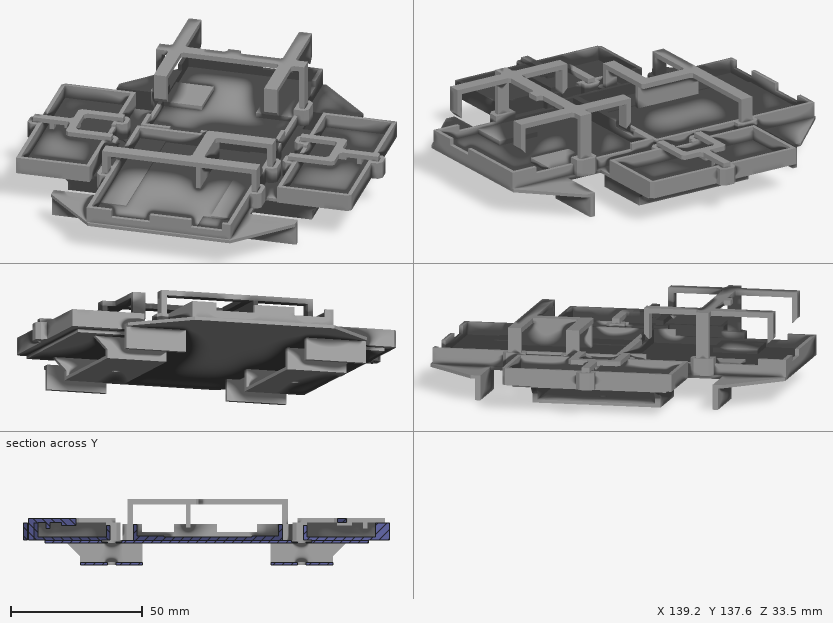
import cadquery as cq
import math

PLATE_T = 1.3
WING_X = 61.4
WING_Y = 29.9
WAIST_X = 29.2
EAR_X = 48.0
EAR_INNER_Y = 45.0
EAR_CORNER_Y = 48.8
END_X = 27.9
END_Y = 68.8

HOLE_X = 36.0
HOLE_D = 3.0
COUNTERBORE_D = 7.5
COUNTERBORE_DEPTH = 0.5

FOOT_BOTTOM = -9.6
FOOT_T = 2.1
FOOT_INNER_X = 24.2
BRACKET_HALF_Y = 24.9
BRACKET_ARM_T = 2.1
BRACKET_FLOOR_T = 1.3
BRACKET_SLOPE = 4.9

TRAY_H = 6.5
LOW_TRAY_H = 6.1
TRAY_FLOOR = 1.3
WALL_T = 1.5
SOCKET_WALL = 1.7
SOCKET_CHAMFER = 1.5
FIT_GAP = 0.3

LARGE_TRAY_X = -0.4
UPPER_TRAY_W = 54.0
UPPER_TRAY_Y = (4.7, 68.8)
LOWER_TRAY_W = 56.5
LOWER_TRAY_Y = (-68.0, 4.5)
SIDE_TRAY_X = (36.5, 65.5)
SIDE_TRAY_HALF_L = 33.0
LEFT_TRAY_Y = -2.1
SIDE_TRAY_CORNER = 1.3

UPPER_NOTCH_DEPTH = 2.5
LOWER_NOTCH_DEPTH = 3.0
SIDE_NOTCH_DEPTH = 1.0
UPPER_SIDE_NOTCH_Y = (14.5, 58.0)
UPPER_BACK_NOTCH_X = (3.0, 15.3)
UPPER_FRONT_NOTCH_X = (-16.1, -4.0)
LOWER_FRONT_NOTCHES_X = [(-19.0, -3.9), (12.2, 24.5)]
SIDE_NOTCH_HALF_L = 4.0

UPPER_PAD_L = 14.9
UPPER_PAD_Y = (32.4, 49.6)
UPPER_PAD_H = 2.0
STRIP_W = 10.1
STRIP_END_Y = -53.8
STRIP_H = 0.4
CORNER_RECESS_W = 13.0
CORNER_RECESS_DEPTH = 0.5

LEG_T = 2.1
LARGE_BAR_W = 5.0
LARGE_BAR_T = 2.0
SMALL_BAR_W = 3.0
SMALL_BAR_T = 1.8
LARGE_CLIP_CHAMFER = 0.8
SMALL_CLIP_CHAMFER = 1.1
CORNER_TOLERANCE = 0.01

UPPER_CLIP_TOP = 23.9
UPPER_CLIP_Y = 36.8
ARM_OFFSET_X = 21.7
ARM_Y = (13.0, 63.1)
TIP_DROP = 12.0
NUB_X = -0.7
NUB_END_Y = 41.8

LOWER_CLIP_TOP = 15.4
LOWER_CLIP_MAIN_Y = -35.7
LOWER_CLIP_BRANCH_Y = -13.2
LINK_X = (3.0, 7.8)
RIB_T = 1.7
RIB_BOTTOM = 4.7

SIDE_CLIP_LEG_Y = 8.5
CROSSBAR_X = (49.5, 52.5)
STEM_BLOCK_END = 55.0
STEM_BLOCK_DROP = 1.1
PEG_X = (59.2, 61.0)
PEG_DROP = 2.2


def box(x_range, y_range, z_range):
    """Axis-aligned box between the given limits."""
    size = [high - low for low, high in (x_range, y_range, z_range)]
    corner = (x_range[0], y_range[0], z_range[0])
    return cq.Workplane("XY").box(*size, centered=False).translate(corner)


def span(centre, width):
    """Limits of a width centred on a coordinate."""
    return (centre - width / 2, centre + width / 2)


def make_plate():
    quarter = [
        (END_X, END_Y),
        (EAR_X, EAR_CORNER_Y),
        (EAR_X, EAR_INNER_Y),
        (WAIST_X, EAR_INNER_Y),
        (WAIST_X, WING_Y),
        (WING_X, WING_Y),
    ]
    right_half = quarter + [(x, -y) for x, y in reversed(quarter)]
    outline = right_half + [(-x, -y) for x, y in right_half]
    plate = cq.Workplane("XY").polyline(outline).close().extrude(-PLATE_T)
    plate = (
        plate.faces(">Z").workplane(origin=(0, 0, 0))
        .pushPoints([(-HOLE_X, 0), (HOLE_X, 0)])
        .cboreHole(HOLE_D, COUNTERBORE_D, COUNTERBORE_DEPTH)
    )
    for side in (1, -1):
        plate = plate.union(make_bracket(side))
        for end in (1, -1):
            foot_x = sorted((side * FOOT_INNER_X, side * EAR_X))
            foot_y = sorted((end * EAR_INNER_Y, end * (EAR_INNER_Y + FOOT_T)))
            plate = plate.union(box(foot_x, foot_y, (FOOT_BOTTOM, -PLATE_T)))
    return plate


def make_bracket(side):
    """Two sloped arms under one wing, joined by a floor that the mounting hole also passes through."""
    profile = [
        (FOOT_INNER_X, -PLATE_T),
        (EAR_X + BRACKET_SLOPE, -PLATE_T),
        (EAR_X, -PLATE_T - BRACKET_SLOPE),
        (EAR_X, FOOT_BOTTOM),
        (FOOT_INNER_X, FOOT_BOTTOM),
    ]
    bracket = (
        cq.Workplane("XZ")
        .polyline([(side * x, z) for x, z in profile]).close()
        .extrude(BRACKET_HALF_Y, both=True)
    )
    opening_half = BRACKET_HALF_Y - BRACKET_ARM_T
    opening = box(
        (-WING_X, WING_X),
        (-opening_half, opening_half),
        (FOOT_BOTTOM + BRACKET_FLOOR_T, -PLATE_T),
    )
    hole = cq.Workplane("XY").center(side * HOLE_X, 0).circle(HOLE_D / 2).extrude(FOOT_BOTTOM)
    return bracket.cut(opening).cut(hole)


def make_tray(x_range, y_range, height):
    """Open box with a floor and four walls."""
    inner_x = (x_range[0] + WALL_T, x_range[1] - WALL_T)
    inner_y = (y_range[0] + WALL_T, y_range[1] - WALL_T)
    cavity = box(inner_x, inner_y, (TRAY_FLOOR, height))
    return box(x_range, y_range, (0, height)).cut(cavity)


def add_socket(tray, wall_x, y, side, bar_width, height):
    """Add a chamfered socket for a clip leg outside the wall whose outer face is at wall_x."""
    pocket_w = bar_width + 2 * FIT_GAP
    pocket_end = wall_x + side * (LEG_T + FIT_GAP)
    block_x = sorted((wall_x - side * WALL_T, pocket_end + side * SOCKET_WALL))
    block = box(block_x, span(y, pocket_w + 2 * SOCKET_WALL), (0, height))
    outer_edges = "|Z and >X" if side > 0 else "|Z and <X"
    block = block.edges(outer_edges).chamfer(SOCKET_CHAMFER)
    pocket = box(sorted((wall_x, pocket_end)), span(y, pocket_w), (0, height))
    return tray.union(block).cut(pocket)


def make_upper_tray():
    x_range = span(LARGE_TRAY_X, UPPER_TRAY_W)
    inner_x = (x_range[0] + WALL_T, x_range[1] - WALL_T)
    front, back = UPPER_TRAY_Y
    notch_z = (TRAY_H - UPPER_NOTCH_DEPTH, TRAY_H)
    tray = make_tray(x_range, UPPER_TRAY_Y, TRAY_H)
    tray = tray.cut(box(x_range, UPPER_SIDE_NOTCH_Y, notch_z))
    tray = tray.cut(box(UPPER_BACK_NOTCH_X, (back - WALL_T, back), notch_z))
    tray = tray.cut(box(UPPER_FRONT_NOTCH_X, (front, front + WALL_T), notch_z))
    pad_z = (TRAY_FLOOR, TRAY_FLOOR + UPPER_PAD_H)
    tray = tray.union(box((inner_x[0], inner_x[0] + UPPER_PAD_L), UPPER_PAD_Y, pad_z))
    tray = tray.union(box((inner_x[1] - UPPER_PAD_L, inner_x[1]), UPPER_PAD_Y, pad_z))
    for wall_x, side in zip(x_range, (-1, 1)):
        tray = add_socket(tray, wall_x, UPPER_CLIP_Y, side, LARGE_BAR_W, TRAY_H)
    return tray


def make_lower_tray():
    x_range = span(LARGE_TRAY_X, LOWER_TRAY_W)
    left, right = x_range[0] + WALL_T, x_range[1] - WALL_T
    front, back = LOWER_TRAY_Y[0] + WALL_T, LOWER_TRAY_Y[1] - WALL_T
    tray = make_tray(x_range, LOWER_TRAY_Y, LOW_TRAY_H)
    for notch_x in LOWER_FRONT_NOTCHES_X:
        notch_z = (LOW_TRAY_H - LOWER_NOTCH_DEPTH, LOW_TRAY_H)
        tray = tray.cut(box(notch_x, (LOWER_TRAY_Y[0], front), notch_z))
    strip_z = (TRAY_FLOOR, TRAY_FLOOR + STRIP_H)
    for strip_x in ((left, left + STRIP_W), (right - STRIP_W, right)):
        tray = tray.union(box(strip_x, (STRIP_END_Y, back), strip_z))
    recess_z = (TRAY_FLOOR - CORNER_RECESS_DEPTH, TRAY_FLOOR)
    tray = tray.cut(box((right - CORNER_RECESS_W, right), (front, STRIP_END_Y), recess_z))
    sockets = [
        (x_range[0], LOWER_CLIP_MAIN_Y, -1),
        (x_range[1], LOWER_CLIP_MAIN_Y, 1),
        (x_range[1], LOWER_CLIP_BRANCH_Y, 1),
    ]
    for wall_x, y, side in sockets:
        tray = add_socket(tray, wall_x, y, side, LARGE_BAR_W, LOW_TRAY_H)
    return tray


def make_side_tray():
    """Tray on the +X side, centred on y = 0."""
    inner, outer = SIDE_TRAY_X
    tray = make_tray(SIDE_TRAY_X, (-SIDE_TRAY_HALF_L, SIDE_TRAY_HALF_L), TRAY_H)
    tray = tray.edges("|Z and >X and <Y").chamfer(SIDE_TRAY_CORNER)
    notch_z = (TRAY_H - SIDE_NOTCH_DEPTH, TRAY_H)
    tray = tray.cut(box((inner, inner + WALL_T), (-SIDE_NOTCH_HALF_L, SIDE_NOTCH_HALF_L), notch_z))
    tray = add_socket(tray, outer, 0, 1, SMALL_BAR_W, TRAY_H)
    for y in (-SIDE_CLIP_LEG_Y, SIDE_CLIP_LEG_Y):
        tray = add_socket(tray, inner, y, -1, SMALL_BAR_W, TRAY_H)
    return tray


def make_leg(wall_x, y, side, bar_width, top):
    """Clip leg that stands on the plate against the outer face of a tray wall."""
    return box(sorted((wall_x, wall_x + side * LEG_T)), span(y, bar_width), (0, top))


def chamfer_corners(frame, corners, size):
    """Chamfer the upright edges of a flat bar frame that stand at the given (x, y) corners."""
    edges = []
    for edge in frame.edges("|Z").vals():
        centre = edge.Center()
        if any(math.hypot(centre.x - x, centre.y - y) < CORNER_TOLERANCE for x, y in corners):
            edges.append(edge)
    return cq.Workplane(frame.val().chamfer(size, None, edges))


def make_upper_clip():
    x_range = span(LARGE_TRAY_X, UPPER_TRAY_W)
    bar_x = (x_range[0] - LEG_T, x_range[1] + LEG_T)
    bar_y = span(UPPER_CLIP_Y, LARGE_BAR_W)
    bar_z = (UPPER_CLIP_TOP - LARGE_BAR_T, UPPER_CLIP_TOP)
    nub_x = span(NUB_X, LARGE_BAR_W)
    clip = box(bar_x, bar_y, bar_z)
    clip = clip.union(box(nub_x, (UPPER_CLIP_Y, NUB_END_Y), bar_z))
    corners = [(x, bar_y[1]) for x in nub_x]
    arm_xs = [span(LARGE_TRAY_X + side * ARM_OFFSET_X, LARGE_BAR_W) for side in (-1, 1)]
    for arm_x in arm_xs:
        clip = clip.union(box(arm_x, ARM_Y, bar_z))
        corners += [(x, y) for x in arm_x for y in bar_y]
    clip = chamfer_corners(clip, corners, LARGE_CLIP_CHAMFER)
    for arm_x in arm_xs:
        for end_y, inward in zip(ARM_Y, (1, -1)):
            clip = clip.union(make_arm_tip(arm_x, end_y, inward))
    for wall_x, side in zip(x_range, (-1, 1)):
        clip = clip.union(make_leg(wall_x, UPPER_CLIP_Y, side, LARGE_BAR_W, UPPER_CLIP_TOP))
    return clip


def make_arm_tip(arm_x, end_y, inward):
    """Finger hanging from an arm end, cut at 45 degrees so that its inner face is the longest."""
    tip_z = UPPER_CLIP_TOP - TIP_DROP
    inner_y = end_y + inward * LEG_T
    profile = [
        (end_y, UPPER_CLIP_TOP),
        (inner_y, UPPER_CLIP_TOP),
        (inner_y, tip_z),
        (end_y, tip_z + LEG_T),
    ]
    finger = cq.Workplane("YZ").polyline(profile).close().extrude(LARGE_BAR_W)
    return finger.translate((arm_x[0], 0, 0))


def make_lower_clip():
    x_range = span(LARGE_TRAY_X, LOWER_TRAY_W)
    main_y = span(LOWER_CLIP_MAIN_Y, LARGE_BAR_W)
    branch_y = span(LOWER_CLIP_BRANCH_Y, LARGE_BAR_W)
    bar_z = (LOWER_CLIP_TOP - LARGE_BAR_T, LOWER_CLIP_TOP)
    right_end = x_range[1] + LEG_T
    clip = box((x_range[0] - LEG_T, right_end), main_y, bar_z)
    clip = clip.union(box((LINK_X[0], right_end), branch_y, bar_z))
    clip = clip.union(box(LINK_X, (main_y[0], branch_y[1]), bar_z))
    corners = [
        (LINK_X[0], main_y[1]),
        (LINK_X[1], main_y[1]),
        (LINK_X[1], branch_y[0]),
        (LINK_X[0], branch_y[1]),
    ]
    clip = chamfer_corners(clip, corners, LARGE_CLIP_CHAMFER)
    rib_x = (LINK_X[1] - RIB_T, LINK_X[1])
    clip = clip.union(box(rib_x, (main_y[0], branch_y[1]), (RIB_BOTTOM, bar_z[0])))
    legs = [
        (x_range[0], LOWER_CLIP_MAIN_Y, -1),
        (x_range[1], LOWER_CLIP_MAIN_Y, 1),
        (x_range[1], LOWER_CLIP_BRANCH_Y, 1),
    ]
    for wall_x, y, side in legs:
        clip = clip.union(make_leg(wall_x, y, side, LARGE_BAR_W, LOWER_CLIP_TOP))
    return clip


def make_side_clip():
    """Fork-shaped clip of the +X side tray, centred on y = 0."""
    inner, outer = SIDE_TRAY_X
    top = TRAY_H + SMALL_BAR_T
    bar_z = (TRAY_H, top)
    stem_y = span(0, SMALL_BAR_W)
    outer_half = SIDE_CLIP_LEG_Y + SMALL_BAR_W / 2
    inner_half = SIDE_CLIP_LEG_Y - SMALL_BAR_W / 2
    clip = box(CROSSBAR_X, (-outer_half, outer_half), bar_z)
    clip = clip.union(box((CROSSBAR_X[0], outer + LEG_T), stem_y, bar_z))
    corners = [(CROSSBAR_X[1], y) for y in stem_y]
    for side in (-1, 1):
        prong_y = span(side * SIDE_CLIP_LEG_Y, SMALL_BAR_W)
        clip = clip.union(box((inner - LEG_T, CROSSBAR_X[1]), prong_y, bar_z))
        corners += [(CROSSBAR_X[0], side * inner_half), (CROSSBAR_X[1], side * outer_half)]
    clip = chamfer_corners(clip, corners, SMALL_CLIP_CHAMFER)
    block_x = (CROSSBAR_X[0], STEM_BLOCK_END)
    clip = clip.union(box(block_x, stem_y, (TRAY_H - STEM_BLOCK_DROP, TRAY_H)))
    clip = clip.union(box(PEG_X, stem_y, (TRAY_H - PEG_DROP, TRAY_H)))
    clip = clip.union(make_leg(outer, 0, 1, SMALL_BAR_W, top))
    for side in (-1, 1):
        clip = clip.union(make_leg(inner, side * SIDE_CLIP_LEG_Y, -1, SMALL_BAR_W, top))
    return clip


def on_left(body):
    """Copy of a +X side body turned half a turn and placed on the -X side."""
    return body.rotate((0, 0, 0), (0, 0, 1), 180).translate((0, LEFT_TRAY_Y, 0))


plate = make_plate()
upper_tray = make_upper_tray()
lower_tray = make_lower_tray()
upper_clip = make_upper_clip()
lower_clip = make_lower_clip()
side_trays = [make_side_tray(), on_left(make_side_tray())]
side_clips = [make_side_clip(), on_left(make_side_clip())]

bodies = [plate, upper_tray, lower_tray, upper_clip, lower_clip, *side_trays, *side_clips]
result = cq.Compound.makeCompound([body.solids().val() for body in bodies])